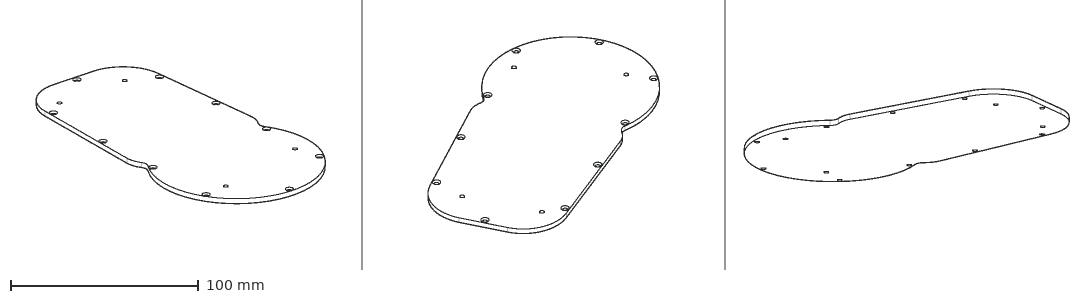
import cadquery as cq
import math

thickness = 3.0
disc_radius = 47.43
overall_length = 185.33
left_edge_x = disc_radius - overall_length

tail_corner_radius = 25.0
left_edge_half_length = 13.7
taper_angle = math.radians(3.0)
side_end_from_left = 97.8

shoulder_radius = 15.0
neck_radius = 5.0

screw_inset = 2.5
left_screw_inset = 2.85
screw_diameter = 2.5
countersink_diameter = 4.4
countersink_angle = 90.0
disc_screw_angles = (0, 60, 120, -120, -60)
tail_screws_from_left = (27.9, 72.8)

plain_hole_diameter = 2.5
plain_holes_from_left = ((19.8, 19.0), (20.3, -26.0), (144.9, 34.6), (158.7, -24.0))

corner_x = left_edge_x + tail_corner_radius
corner_y = left_edge_half_length
side_start = (
    corner_x - tail_corner_radius * math.sin(taper_angle),
    corner_y + tail_corner_radius * math.cos(taper_angle),
)


def side_height(x):
    """Y of the upper sloping side at the given X."""
    return side_start[1] + (x - side_start[0]) * math.tan(taper_angle)


def point_at(centre, radius, angle):
    """Point on a circle, with the angle in radians from +X."""
    return (centre[0] + radius * math.cos(angle), centre[1] + radius * math.sin(angle))


def mirrored(point):
    """Point reflected across the X axis."""
    return (point[0], -point[1])


def neck_center(shoulder_center):
    """Centre of the inward round, tangent to both the shoulder round and the disc."""
    from_disc = disc_radius + neck_radius
    from_shoulder = shoulder_radius + neck_radius
    spacing = math.hypot(*shoulder_center)
    cosine = (from_disc**2 + spacing**2 - from_shoulder**2) / (2 * from_disc * spacing)
    shoulder_direction = math.atan2(shoulder_center[1], shoulder_center[0])
    return point_at((0, 0), from_disc, shoulder_direction - math.acos(cosine))


def make_plate():
    """Extruded outline, symmetric about the X axis."""
    side_normal = math.pi / 2 + taper_angle
    side_end_x = left_edge_x + side_end_from_left
    side_end = (side_end_x, side_height(side_end_x))
    shoulder = point_at(side_end, -shoulder_radius, side_normal)
    neck = neck_center(shoulder)

    shoulder_exit = math.atan2(neck[1] - shoulder[1], neck[0] - shoulder[0])
    disc_entry = math.atan2(neck[1], neck[0])
    neck_middle = (shoulder_exit + disc_entry) / 2 + math.pi

    edge_top = (left_edge_x, left_edge_half_length)
    corner_mid = point_at((corner_x, corner_y), tail_corner_radius, (math.pi + side_normal) / 2)
    shoulder_mid = point_at(shoulder, shoulder_radius, (side_normal + shoulder_exit) / 2)
    shoulder_end = point_at(shoulder, shoulder_radius, shoulder_exit)
    neck_mid = point_at(neck, neck_radius, neck_middle)
    disc_start = point_at((0, 0), disc_radius, disc_entry)

    outline = (
        cq.Workplane("XY")
        .moveTo(*edge_top)
        .threePointArc(corner_mid, side_start)
        .lineTo(*side_end)
        .threePointArc(shoulder_mid, shoulder_end)
        .threePointArc(neck_mid, disc_start)
        .threePointArc((disc_radius, 0), mirrored(disc_start))
        .threePointArc(mirrored(neck_mid), mirrored(shoulder_end))
        .threePointArc(mirrored(shoulder_mid), mirrored(side_end))
        .lineTo(*mirrored(side_start))
        .threePointArc(mirrored(corner_mid), mirrored(edge_top))
        .close()
    )
    return outline.extrude(thickness)


def screw_points():
    """Screw positions, each set in from the nearest rim."""
    points = [(left_edge_x + left_screw_inset, 0)]
    for angle in disc_screw_angles:
        points.append(point_at((0, 0), disc_radius - screw_inset, math.radians(angle)))
    for from_left in tail_screws_from_left:
        x = left_edge_x + from_left
        point = (x, side_height(x) - screw_inset / math.cos(taper_angle))
        points += [point, mirrored(point)]
    return points


def drill_screw_holes(plate):
    """Countersunk through holes, opened from the top face."""
    top = plate.faces(">Z").workplane(origin=(0, 0, thickness))
    return top.pushPoints(screw_points()).cskHole(screw_diameter, countersink_diameter, countersink_angle)


def drill_plain_holes(plate):
    """Small through holes inside the rim."""
    points = [(left_edge_x + from_left, y) for from_left, y in plain_holes_from_left]
    top = plate.faces(">Z").workplane(origin=(0, 0, thickness))
    return top.pushPoints(points).hole(plain_hole_diameter)


result = drill_plain_holes(drill_screw_holes(make_plate()))